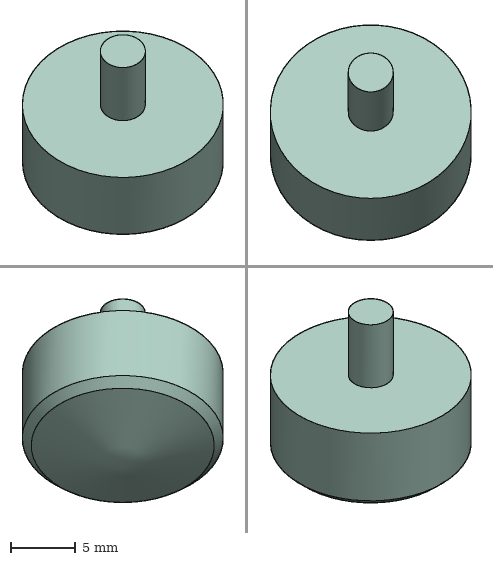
import cadquery as cq

body_diameter = 15.6
pin_diameter = 3.5
pin_length = 6.0
body_wall_height = 6.46
chamfer = 0.7
cone_height = 2.14

body_radius = body_diameter / 2
pin_radius = pin_diameter / 2
cone_radius = body_radius - chamfer
wall_bottom = cone_height + chamfer
body_top = wall_bottom + body_wall_height
pin_top = body_top + pin_length

half_section = (
    cq.Workplane("XZ")
    .moveTo(0, 0)
    .lineTo(cone_radius, cone_height)
    .lineTo(body_radius, wall_bottom)
    .lineTo(body_radius, body_top)
    .lineTo(pin_radius, body_top)
    .lineTo(pin_radius, pin_top)
    .lineTo(0, pin_top)
    .close()
)

result = half_section.revolve(360, (0, 0, 0), (0, 1, 0))